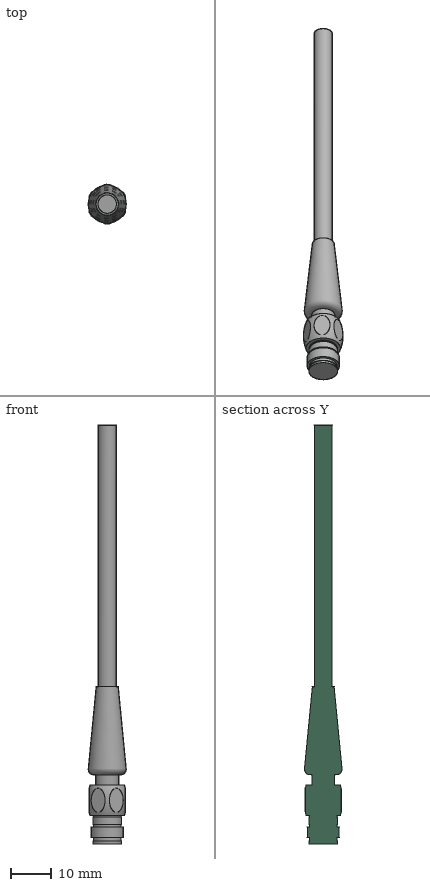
import cadquery as cq

total_height = 103.9
rod_diameter = 4.6

end_lip_diameter = 7.2
end_lip_height = 0.7
end_groove_diameter = 6.9
ring_bottom = 1.6
ring_diameter = 8.0
ring_top = 4.3
collar_diameter = 7.2
collar_bottom = 4.9
collar_top = 6.6
collar_groove_diameter = 6.9

nut_bottom = 7.1
nut_top = 14.6
nut_diameter = 9.9
nut_end_diameter = 8.5
nut_across_flats = 9.0
flat_count = 6

neck_diameter = 5.8
sleeve_bottom = 17.1
sleeve_widest = 18.6
sleeve_top = 39.1
sleeve_diameter = 9.5
sleeve_top_diameter = 5.5
sleeve_rounding = sleeve_widest - sleeve_bottom


def cylinder(diameter, bottom, top):
    """Upright cylinder on the part axis."""
    return cq.Workplane("XY").workplane(offset=bottom).circle(diameter / 2).extrude(top - bottom)


def make_threaded_end():
    """Stepped end with a wide ring and shallow grooves."""
    return (
        cylinder(end_groove_diameter, 0, ring_bottom)
        .union(cylinder(end_lip_diameter, 0, end_lip_height))
        .union(cylinder(ring_diameter, ring_bottom, ring_top))
        .union(cylinder(collar_groove_diameter, ring_top, nut_bottom))
        .union(cylinder(collar_diameter, collar_bottom, collar_top))
    )


def make_nut():
    """Barrel of revolution trimmed by a hexagon with flats facing +X and -X."""
    barrel = (
        cq.Workplane("XZ")
        .moveTo(0, nut_bottom)
        .lineTo(nut_end_diameter / 2, nut_bottom)
        .threePointArc(
            (nut_diameter / 2, (nut_bottom + nut_top) / 2),
            (nut_end_diameter / 2, nut_top),
        )
        .lineTo(0, nut_top)
        .close()
        .revolve(360, (0, 0), (0, 1))
    )
    hexagon = (
        cq.Workplane("XY")
        .workplane(offset=nut_bottom)
        .polygon(flat_count, nut_across_flats, circumscribed=True)
        .extrude(nut_top - nut_bottom)
    )
    return barrel.intersect(hexagon)


def make_sleeve():
    """Straight taper above a quarter-round lower edge."""
    radius = sleeve_diameter / 2
    return (
        cq.Workplane("XZ")
        .moveTo(0, sleeve_bottom)
        .lineTo(radius - sleeve_rounding, sleeve_bottom)
        .radiusArc((radius, sleeve_widest), -sleeve_rounding)
        .lineTo(sleeve_top_diameter / 2, sleeve_top)
        .lineTo(0, sleeve_top)
        .close()
        .revolve(360, (0, 0), (0, 1))
    )


neck = cylinder(neck_diameter, nut_top, sleeve_bottom)
rod = cylinder(rod_diameter, sleeve_top, total_height)

result = make_threaded_end().union(make_nut()).union(neck).union(make_sleeve()).union(rod)